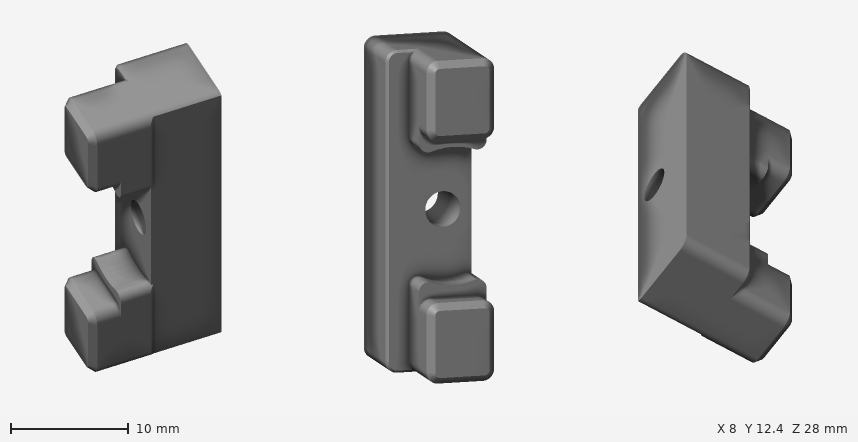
import cadquery as cq
import math


width = 8.0
depth = 12.4
height = 28.0
corner_radius = 1.0

body_depth = 6.6
body_chamfer = 0.22
hole_diameter = 3.1

leg_width = 6.0
base_end = 9.6
foot_height = 7.0
foot_chamfer = 0.6
relief_radius = 6.0
base_corner_radius = 0.8

overhang = 0.45
slope_start = 6.38

right_side = leg_width / 2
left_side = right_side - width
body_right = right_side - overhang
top = height / 2


def front_plane(distance):
    """Plane parallel to the back face, facing -Y, at a distance in front of it."""
    return cq.Workplane("XZ", origin=(0, -distance, 0))


def make_body():
    """Rounded block, chamfered around its front face, then cut flat along its right side."""
    block = (
        front_plane(0)
        .center((left_side + right_side) / 2, 0)
        .rect(width, height)
        .extrude(body_depth)
        .edges("|Y")
        .fillet(corner_radius)
        .faces("<Y")
        .chamfer(body_chamfer)
    )
    side_cut = (
        front_plane(0)
        .center((body_right + right_side) / 2, 0)
        .rect(overhang, height)
        .extrude(body_depth)
    )
    return block.cut(side_cut)


def make_base():
    """Leg base: rounded outer corners, and an inner end hollowed around the hole axis."""
    arc_x = right_side - base_corner_radius
    arc_distance = relief_radius + base_corner_radius
    arc_z = math.sqrt(arc_distance**2 - arc_x**2)
    arc_angle = math.atan2(arc_z, arc_x)
    touch_x = relief_radius * math.cos(arc_angle)
    touch_z = relief_radius * math.sin(arc_angle)
    middle_angle = (arc_angle - math.pi) / 2
    middle_x = arc_x + base_corner_radius * math.cos(middle_angle)
    middle_z = arc_z + base_corner_radius * math.sin(middle_angle)

    base = (
        front_plane(slope_start)
        .moveTo(-right_side, top)
        .lineTo(-right_side, arc_z)
        .threePointArc((-middle_x, middle_z), (-touch_x, touch_z))
        .threePointArc((0, relief_radius), (touch_x, touch_z))
        .threePointArc((middle_x, middle_z), (right_side, arc_z))
        .lineTo(right_side, top)
        .close()
        .extrude(base_end - slope_start)
    )
    return base.edges("|Y and >Z").fillet(corner_radius)


def make_foot():
    """Rounded block in front of the base, chamfered all round its front face."""
    return (
        front_plane(slope_start)
        .center(0, top - foot_height / 2)
        .rect(leg_width, foot_height)
        .extrude(depth - slope_start)
        .edges("|Y")
        .fillet(corner_radius)
        .faces("<Y")
        .chamfer(foot_chamfer)
    )


def make_leg():
    """Upper leg with the slope cut behind its overhanging side."""
    slope = (
        cq.Workplane("XY")
        .moveTo(body_right, -slope_start)
        .lineTo(right_side, -slope_start - overhang)
        .lineTo(right_side, -slope_start)
        .close()
        .extrude(top)
    )
    return make_base().union(make_foot()).cut(slope)


upper_leg = make_leg()
lower_leg = upper_leg.mirror("XY")
hole = front_plane(0).circle(hole_diameter / 2).extrude(body_depth)

result = make_body().union(upper_leg).union(lower_leg).cut(hole)